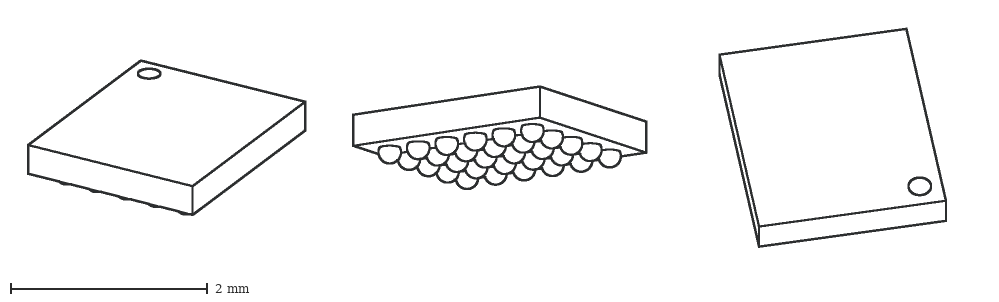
import cadquery as cq

body_length_x = 1.93
body_width_y = 2.29
body_thickness = 0.325
standoff = 0.16

ball_diameter = 0.23
ball_pitch = 0.35
ball_columns = 5
ball_rows = 6
ball_grid_x = 0.025
ball_grid_y = 0.0175

marker_diameter = 0.23
marker_height = 0.005
marker_inset = 0.23


def make_body():
    return (
        cq.Workplane("XY")
        .workplane(offset=standoff)
        .rect(body_length_x, body_width_y)
        .extrude(body_thickness)
    )


def make_balls():
    radius = ball_diameter / 2
    return (
        cq.Workplane("XY", origin=(ball_grid_x, ball_grid_y, radius))
        .rarray(ball_pitch, ball_pitch, ball_columns, ball_rows)
        .sphere(radius)
    )


def make_marker():
    marker_x = marker_inset - body_length_x / 2
    marker_y = body_width_y / 2 - marker_inset
    return (
        cq.Workplane("XY", origin=(marker_x, marker_y, standoff + body_thickness))
        .circle(marker_diameter / 2)
        .extrude(marker_height)
    )


result = make_body().union(make_balls()).union(make_marker())